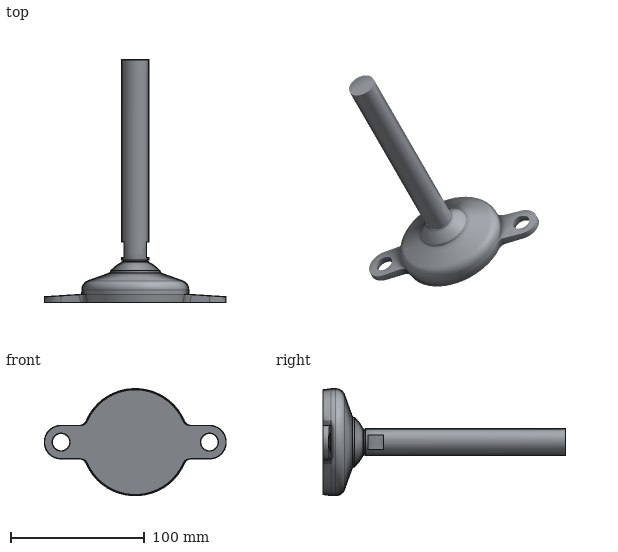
import cadquery as cq
import math

TOTAL_LENGTH = 181.5

BASE_RADIUS = 39.2
FOOT_DIAMETER = 80.0
FOOT_RADIUS = FOOT_DIAMETER / 2
RIM_START = 6.2
RIM_END = 9.5
SHOULDER_RADIUS = 7.3
SEAT_RADIUS = 18.9
SEAT_HEIGHT = 22.1
CONE_ANGLE = math.radians(20.5)

LUG_RADIUS = 12.5
LUG_SPAN = 136.0
LUG_HOLE_RADIUS = 6.5
LUG_TIP_THICKNESS = 4.4
LUG_FILLET = 5.5
CORNER_REACH = 1.8
LUG_CENTER = LUG_SPAN / 2 - LUG_RADIUS

STUD_RADIUS = 10.2
STUD_START = 32.0
NECK_RADIUS = 9.0
DOME_TOP_RADIUS = 9.8
DOME_TOP = 30.1
DOME_LIP_TOP = 30.7
DOME_BULGE_RADIUS = 14.3
DOME_BULGE_HEIGHT = 27.4
DOME_RADIUS = 18.3
DOME_START = 23.8
FLAT_START = 33.5
FLAT_END = 45.2
FLAT_HALF_WIDTH = 8.5


def revolve_about_y(profile):
    return profile.close().revolve(360, (0, 0, 0), (0, 1, 0))


def shoulder_point(angle):
    """Point on the rounded shoulder, at an angle up from its widest radius."""
    return (
        FOOT_RADIUS - SHOULDER_RADIUS + SHOULDER_RADIUS * math.cos(angle),
        RIM_END + SHOULDER_RADIUS * math.sin(angle),
    )


def make_rim_layer():
    """Drafted lower disc with both lugs, filleted where the lugs leave the disc."""
    disc = revolve_about_y(
        cq.Workplane("XY")
        .lineTo(BASE_RADIUS, 0)
        .lineTo(FOOT_RADIUS, RIM_START)
        .lineTo(0, RIM_START)
    )
    lugs = cq.Workplane("XZ").slot2D(LUG_SPAN, 2 * LUG_RADIUS).extrude(-RIM_START)
    corner_x = math.sqrt(FOOT_RADIUS**2 - LUG_RADIUS**2)
    layer = disc.union(lugs)
    for x in (-corner_x, corner_x):
        for z in (-LUG_RADIUS, LUG_RADIUS):
            low = (x - CORNER_REACH, 0, z - CORNER_REACH)
            high = (x + CORNER_REACH, RIM_START, z + CORNER_REACH)
            corner = cq.selectors.BoxSelector(low, high)
            layer = layer.edges(corner).fillet(LUG_FILLET)
    return layer


def make_lug_taper(side):
    """Wedge that thins one lug toward its tip."""
    return (
        cq.Workplane("XY")
        .moveTo(side * FOOT_RADIUS, RIM_START)
        .lineTo(side * LUG_SPAN / 2, RIM_START)
        .lineTo(side * LUG_SPAN / 2, LUG_TIP_THICKNESS)
        .close()
        .extrude(FOOT_RADIUS, both=True)
    )


def make_upper_foot():
    """Short cylinder, rounded shoulder and cone up to the flat seat."""
    arc_end = math.pi / 2 - CONE_ANGLE
    return revolve_about_y(
        cq.Workplane("XY")
        .moveTo(0, RIM_START)
        .lineTo(FOOT_RADIUS, RIM_START)
        .lineTo(FOOT_RADIUS, RIM_END)
        .threePointArc(shoulder_point(arc_end / 2), shoulder_point(arc_end))
        .lineTo(SEAT_RADIUS, SEAT_HEIGHT)
        .lineTo(0, SEAT_HEIGHT)
    )


def make_foot():
    layer = make_rim_layer()
    for side in (-1, 1):
        layer = layer.cut(make_lug_taper(side))
    holes = (
        cq.Workplane("XZ")
        .pushPoints([(-LUG_CENTER, 0), (LUG_CENTER, 0)])
        .circle(LUG_HOLE_RADIUS)
        .extrude(-RIM_START)
    )
    return layer.cut(holes).union(make_upper_foot())


def make_stud():
    """Rod on a domed swivel that rests on the flat seat of the foot."""
    profile = (
        cq.Workplane("XY")
        .moveTo(0, SEAT_HEIGHT)
        .lineTo(SEAT_RADIUS, SEAT_HEIGHT)
        .lineTo(DOME_RADIUS, DOME_START)
        .threePointArc((DOME_BULGE_RADIUS, DOME_BULGE_HEIGHT), (DOME_TOP_RADIUS, DOME_TOP))
        .lineTo(DOME_TOP_RADIUS, DOME_LIP_TOP)
        .lineTo(NECK_RADIUS, DOME_LIP_TOP)
        .lineTo(NECK_RADIUS, STUD_START)
        .lineTo(STUD_RADIUS, STUD_START)
        .lineTo(STUD_RADIUS, TOTAL_LENGTH)
        .lineTo(0, TOTAL_LENGTH)
    )
    stud = revolve_about_y(profile)
    for side in (-1, 1):
        stud = stud.cut(make_flat_cutter(side))
    return stud


def make_flat_cutter(side):
    """Block that leaves a wrench flat on the -X or +X side of the rod."""
    depth = STUD_RADIUS - FLAT_HALF_WIDTH
    return cq.Workplane("XY").box(depth, FLAT_END - FLAT_START, 2 * STUD_RADIUS).translate(
        (side * (FLAT_HALF_WIDTH + depth / 2), (FLAT_START + FLAT_END) / 2, 0)
    )


foot = make_foot()
stud = make_stud()
result = cq.Compound.makeCompound([foot.val(), stud.val()])